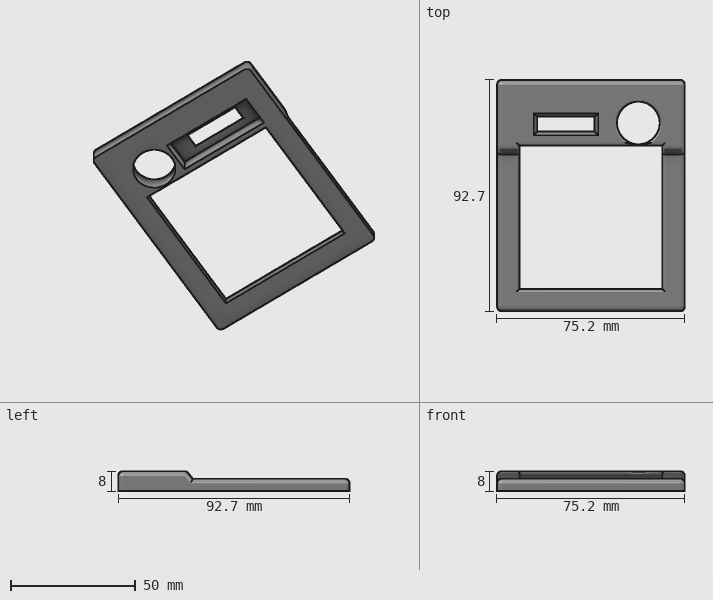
import cadquery as cq
import math

WIDTH = 75.2
LENGTH = 92.7
REAR_HEIGHT = 8.0
FRONT_HEIGHT = 5.0
EDGE_RADIUS = 2.0

RAMP_ANGLE = 50.0
RAMP_TOP_FROM_REAR = 27.4

WINDOW_WIDTH = 57.0
WINDOW_LENGTH = 57.2
WINDOW_FRONT_MARGIN = 9.05
WINDOW_EDGE_RADIUS = 1.3

SLOT_WIDTH = 22.8
SLOT_LENGTH = 5.8
SLOT_CENTER_X = -10.0
SLOT_FROM_REAR = 17.8
SLOT_FLARE = 1.55

POCKET_WIDTH = 38.0
POCKET_LENGTH = 12.8
POCKET_ROOF = 1.4

HOLE_DIAMETER = 17.0
HOLE_CENTER_X = 19.0
HOLE_FROM_REAR = 17.3
HOLE_RIM_RADIUS = 0.9

SELECT_MARGIN = 0.1

POCKET_DEPTH = REAR_HEIGHT - POCKET_ROOF
REAR_Y = LENGTH / 2
FRONT_Y = -LENGTH / 2
RAMP_TOP_Y = REAR_Y - RAMP_TOP_FROM_REAR
RAMP_RUN = (REAR_HEIGHT - FRONT_HEIGHT) / math.tan(math.radians(RAMP_ANGLE))
RAMP_FOOT_Y = RAMP_TOP_Y - RAMP_RUN
WINDOW_REAR_Y = FRONT_Y + WINDOW_FRONT_MARGIN + WINDOW_LENGTH
WINDOW_CENTER_Y = WINDOW_REAR_Y - WINDOW_LENGTH / 2


def make_body():
    """Stepped plate with a ramp, rounded on its corners and its upper edges."""
    profile = [
        (FRONT_Y, 0),
        (REAR_Y, 0),
        (REAR_Y, REAR_HEIGHT),
        (RAMP_TOP_Y, REAR_HEIGHT),
        (RAMP_FOOT_Y, FRONT_HEIGHT),
        (FRONT_Y, FRONT_HEIGHT),
    ]
    plate = cq.Workplane("YZ").polyline(profile).close().extrude(WIDTH / 2, both=True)
    above_base = cq.selectors.BoxSelector(
        (-WIDTH, -LENGTH, SELECT_MARGIN), (WIDTH, LENGTH, 2 * REAR_HEIGHT)
    )
    ramp_foot = cq.selectors.BoxSelector(
        (-SELECT_MARGIN, RAMP_FOOT_Y - SELECT_MARGIN, FRONT_HEIGHT - SELECT_MARGIN),
        (SELECT_MARGIN, RAMP_FOOT_Y + SELECT_MARGIN, FRONT_HEIGHT + SELECT_MARGIN),
    )
    return plate.edges(above_base - ramp_foot).fillet(EDGE_RADIUS)


def cut_window(body):
    """Through window that cuts across the ramp into the rear deck, with rounded upper edges."""
    opening = cq.Workplane("XY").box(
        WINDOW_WIDTH, WINDOW_LENGTH, REAR_HEIGHT, centered=(True, True, False)
    ).translate((0, WINDOW_CENTER_Y, 0))
    half_width = WINDOW_WIDTH / 2 + SELECT_MARGIN
    rim = cq.selectors.BoxSelector(
        (-half_width, FRONT_Y + EDGE_RADIUS + SELECT_MARGIN, FRONT_HEIGHT - SELECT_MARGIN),
        (half_width, WINDOW_REAR_Y + SELECT_MARGIN, REAR_HEIGHT + SELECT_MARGIN),
        boundingbox=True,
    )
    return body.cut(opening).edges(rim).fillet(WINDOW_EDGE_RADIUS)


def cut_slot(body):
    """Rectangular slot with sloping sides that opens into a wider pocket below it."""
    center = (SLOT_CENTER_X, REAR_Y - SLOT_FROM_REAR)
    slot = (
        cq.Workplane("XY", origin=(*center, POCKET_DEPTH))
        .rect(SLOT_WIDTH, SLOT_LENGTH)
        .workplane(offset=POCKET_ROOF)
        .rect(SLOT_WIDTH + 2 * SLOT_FLARE, SLOT_LENGTH + 2 * SLOT_FLARE)
        .loft(ruled=True)
    )
    pocket = cq.Workplane("XY").center(*center).rect(POCKET_WIDTH, POCKET_LENGTH).extrude(POCKET_DEPTH)
    return body.cut(slot).cut(pocket)


def cut_round_hole(body):
    """Round hole through the rear deck whose rim flares out in a quarter-round."""
    radius = HOLE_DIAMETER / 2
    rim_start = REAR_HEIGHT - HOLE_RIM_RADIUS
    diagonal = HOLE_RIM_RADIUS * math.sqrt(0.5)
    opening = (
        cq.Workplane("XZ")
        .lineTo(radius, 0)
        .lineTo(radius, rim_start)
        .threePointArc(
            (radius + HOLE_RIM_RADIUS - diagonal, rim_start + diagonal),
            (radius + HOLE_RIM_RADIUS, REAR_HEIGHT),
        )
        .lineTo(0, REAR_HEIGHT)
        .close()
        .revolve(360, (0, 0, 0), (0, 1, 0))
        .translate((HOLE_CENTER_X, REAR_Y - HOLE_FROM_REAR, 0))
    )
    return body.cut(opening)


result = make_body()
result = cut_window(result)
result = cut_slot(result)
result = cut_round_hole(result)